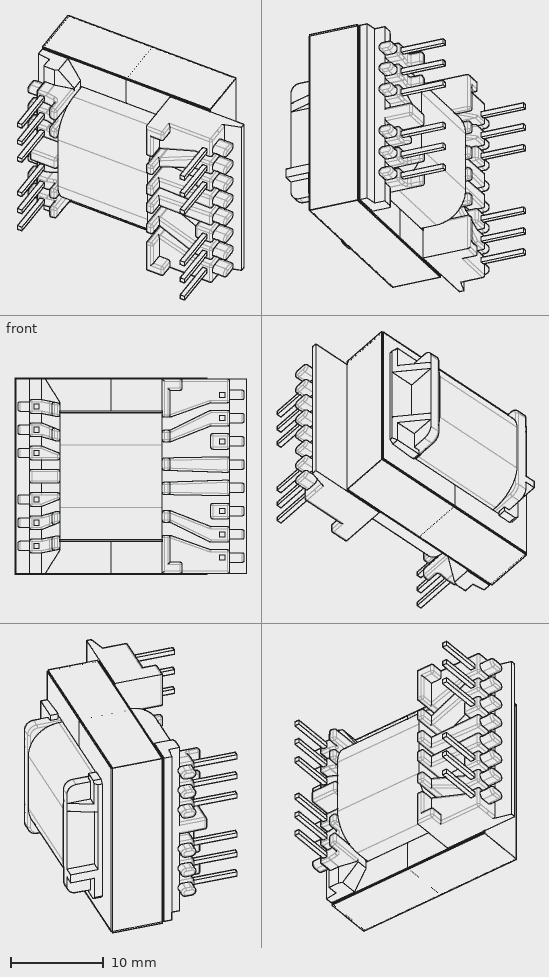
import cadquery as cq

FAR = 24.9
SMALL = 0.02

CORE_X = 20.42
CORE_Y = 5.95
CORE_Z = 20.87
WINDOW_X = 13.55
WINDOW_Z = 14.0
CENTRE_LEG_Z = 6.87
TAPE_THICKNESS = 0.12
TAPE_Y = 5.68

WINDING_X = 11.0
WINDING_Z = 13.7
WINDING_RADIUS = 3.49
TUBE_WALL = 0.5
BACK_Y = 6.8
WINDING_FRONT_Y = -8.17

INNER_X = WINDING_X / 2
FLANGE_OUTER_X = WINDOW_X / 2
FLANGE_Z = 13.85
FLANGE_RADIUS = 1.05
FLAP_FRONT_Y = 3.19
FLAP_BACK_Y = 4.08
RIGHT_TIP_FRONT_Y = 3.34
FLAP_EDGE_Y = 3.65
FLAP_Z = 15.15
FLAP_INNER_X = 6.1
LEFT_FLAP_X = -8.0
RIGHT_FLAP_X = 9.55
FLAP_CORNER = 0.4
GUSSET_INNER_Z = 3.69
GUSSET_OUTER_Z = 4.7

RAIL_Z = 20.92
RAIL_BACK_Y = -3.1
LIP_ROOT_Y = -4.15
FLOOR_Y = -5.38
RIB_FRONT_Y = -7.07
FINGER_FRONT_Y = -8.62
EDGE_FILLET = 0.25

LEFT_RAIL_X = -8.76
LEFT_LIP_X = -10.2
LEFT_LIP_Y = -3.95
LEFT_RAMP_X = -7.47
RAMP_END_Y = -4.5
LEFT_CORNER_X = -7.07
LEFT_CORNER_Z = 7.95

RIGHT_RAIL_X = 12.75
RIGHT_LIP_X = 14.57
RIGHT_LIP_Y = -3.64

PIN_PITCH = 2.5
PIN_SIZE = 0.55
PIN_TIP_Y = -12.1
LEFT_PIN_X = -8.02
RIGHT_PIN_X = 11.95
LEFT_RIB_HALF = 0.75
RIGHT_RIB_HALF = 0.85
FINGER_WIDTH = 0.85
LEFT_FINGER_ROOT = 0.27
RIGHT_BEND_X = 10.7
OUTER_FINGER_Z = (6.35, 7.85)
MIDDLE_FINGER_Z = (3.69, 4.95)
INNER_LEFT_Z = (1.77, 2.47)
INNER_RIGHT_Z = (0.65, 1.97)
BARRIER_Z = 1.47
BARRIER_FRONT_Y = -8.55
HOOK_X = 7.65
HOOK_Z = 1.22

STUD_HEIGHT = 1.02
STUD_FRONT_Y = -6.85
STUD_TIP_FILLET = 0.22
LEFT_STUD_X = -10.0
LEFT_STUD_BACK_Y = -5.18
RIGHT_STUD_X = 14.32
RIGHT_STUD_BACK_Y = -4.9


def box(x0, x1, y0, y1, z0, z1):
    """Box between two opposite corners, given in any order."""
    size = cq.Workplane("XY").box(abs(x1 - x0), abs(y1 - y0), abs(z1 - z0))
    return size.translate(((x0 + x1) / 2, (y0 + y1) / 2, (z0 + z1) / 2))


def prism_z(points, z0, z1):
    """Outline in X and Y, extruded from z0 to z1."""
    return cq.Workplane("XY").workplane(offset=z0).polyline(points).close().extrude(z1 - z0)


def prism_y(points, y0, y1):
    """Outline in X and Z, extruded from y0 to y1 (y1 < y0)."""
    return cq.Workplane("XZ", origin=(0, y0, 0)).polyline(points).close().extrude(y0 - y1)


def both_ends(shape):
    """The shape together with its mirror image in z = 0."""
    return shape.union(shape.mirror("XY"))


def make_core_half(side):
    outer_x = side * CORE_X / 2
    half = box(0, outer_x, -CORE_Y / 2, CORE_Y / 2, -CORE_Z / 2, CORE_Z / 2)
    window = box(0, side * WINDOW_X / 2, -CORE_Y, CORE_Y, CENTRE_LEG_Z / 2, WINDOW_Z / 2)
    return half.cut(both_ends(window))


def make_tape():
    outer_x = CORE_X + 2 * TAPE_THICKNESS
    outer_z = CORE_Z + 2 * TAPE_THICKNESS
    band = cq.Workplane("XY").box(outer_x, TAPE_Y, outer_z)
    return band.cut(cq.Workplane("XY").box(CORE_X, TAPE_Y, CORE_Z))


def make_tube_outside():
    return cq.Workplane("XY").box(WINDOW_X, CORE_Y + 2 * TUBE_WALL, CENTRE_LEG_Z + 2 * TUBE_WALL)


def make_winding():
    coil = box(-INNER_X, INNER_X, WINDING_FRONT_Y, BACK_Y, -WINDING_Z / 2, WINDING_Z / 2)
    return coil.edges("|X").fillet(WINDING_RADIUS).cut(make_tube_outside())


def make_flange(side):
    """Plate at the end of the winding, reaching from the terminal rail to the back."""
    plate = box(side * INNER_X, side * FLANGE_OUTER_X, RAIL_BACK_Y, BACK_Y, -FLANGE_Z / 2, FLANGE_Z / 2)
    plate = plate.edges("|X and >Y").fillet(FLANGE_RADIUS)
    inner_face = "<X" if side > 0 else ">X"
    return plate.faces(inner_face).edges(">Y or >Z or <Z").fillet(EDGE_FILLET)


def make_gusset(outline):
    return prism_z(outline, GUSSET_INNER_Z, GUSSET_OUTER_Z)


def make_flap(outer_x):
    """Plate behind the core with cut corners, thinner between its gussets."""
    side = 1 if outer_x > 0 else -1
    plate = box(side * FLAP_INNER_X, outer_x, FLAP_FRONT_Y, FLAP_BACK_Y, -FLAP_Z / 2, FLAP_Z / 2)
    plate = plate.edges(">X and |Y" if side > 0 else "<X and |Y").chamfer(FLAP_CORNER)
    recess = box(side * FLANGE_OUTER_X, outer_x, FLAP_EDGE_Y, BACK_Y, -GUSSET_INNER_Z, GUSSET_INNER_Z)
    return plate.cut(recess)


def slope_outline(outer_x):
    """Triangle in X and Y under the slope from the flange's back edge to the flap's tip."""
    flange_x = FLANGE_OUTER_X if outer_x > 0 else -FLANGE_OUTER_X
    return [(flange_x, BACK_Y), (outer_x, FLAP_EDGE_Y), (flange_x, FLAP_EDGE_Y)]


def cut_above_slope(shape, outer_x, z0, z1):
    tip = (outer_x, FLAP_EDGE_Y)
    top = (FLANGE_OUTER_X if outer_x > 0 else -FLANGE_OUTER_X, BACK_Y)
    return shape.cut(prism_z([tip, top, (outer_x, BACK_Y)], z0, z1))


def make_left_flap():
    """The flap's upper half is sloped; its lower half stays square."""
    gusset = make_gusset(slope_outline(LEFT_FLAP_X))
    flap = cut_above_slope(make_flap(LEFT_FLAP_X), LEFT_FLAP_X, 0, FLAP_Z / 2)
    square = box(LEFT_FLAP_X, -FLANGE_OUTER_X, FLAP_EDGE_Y, BACK_Y, -GUSSET_OUTER_Z, -GUSSET_INNER_Z)
    return flap.union(gusset).union(square)


def make_right_flap():
    """The flap is sloped over its whole width and its front face rises towards the tip."""
    gussets = both_ends(make_gusset(slope_outline(RIGHT_FLAP_X)))
    front_taper = [
        (FLANGE_OUTER_X, FLAP_FRONT_Y),
        (RIGHT_FLAP_X, FLAP_FRONT_Y),
        (RIGHT_FLAP_X, RIGHT_TIP_FRONT_Y),
    ]
    flap = cut_above_slope(make_flap(RIGHT_FLAP_X), RIGHT_FLAP_X, -FLAP_Z / 2, FLAP_Z / 2)
    return flap.cut(prism_z(front_taper, -FLAP_Z / 2, FLAP_Z / 2)).union(gussets)


def make_left_rail():
    outline = [
        (LEFT_LIP_X, RAIL_BACK_Y),
        (LEFT_LIP_X, LEFT_LIP_Y),
        (LEFT_RAIL_X, LIP_ROOT_Y),
        (LEFT_RAIL_X, FLOOR_Y),
        (LEFT_RAMP_X, FLOOR_Y),
        (-INNER_X, RAMP_END_Y),
        (-INNER_X, RAIL_BACK_Y),
    ]
    corner = [(LEFT_CORNER_X, RAIL_Z / 2), (-INNER_X, LEFT_CORNER_Z), (-INNER_X, RAIL_Z / 2)]
    rail = prism_z(outline, -RAIL_Z / 2, RAIL_Z / 2)
    return rail.cut(both_ends(prism_y(corner, RAIL_BACK_Y, FLOOR_Y)))


def make_right_rail():
    outline = [
        (RIGHT_LIP_X, RAIL_BACK_Y),
        (RIGHT_LIP_X, RIGHT_LIP_Y),
        (RIGHT_RAIL_X, LIP_ROOT_Y),
        (RIGHT_RAIL_X, FLOOR_Y),
        (INNER_X, RAMP_END_Y),
        (INNER_X, RAIL_BACK_Y),
    ]
    rail = prism_z(outline, -RAIL_Z / 2, RAIL_Z / 2)
    return rail.edges("|Y").edges(near_line(RIGHT_RAIL_X)).fillet(EDGE_FILLET)


def left_finger_profile():
    """Left rib with a finger rising from its winding end out of a hollow rounding, as wide in Z as the rails."""
    finger_x = -INNER_X - FINGER_WIDTH
    rib = box(LEFT_RAIL_X, -INNER_X, LIP_ROOT_Y, RIB_FRONT_Y, -RAIL_Z / 2, RAIL_Z / 2)
    finger = box(finger_x, -INNER_X, LIP_ROOT_Y, FINGER_FRONT_Y, -RAIL_Z / 2, RAIL_Z / 2)
    root = near_line(finger_x, y=RIB_FRONT_Y)
    return rib.union(finger).edges(root).fillet(LEFT_FINGER_ROOT)


def right_rib(outline):
    """Right rib over an outline in X and Z, with a finger rising squarely from its winding end."""
    rib = prism_y(outline, LIP_ROOT_Y, RIB_FRONT_Y)
    finger = prism_y(outline, LIP_ROOT_Y, FINGER_FRONT_Y)
    finger = finger.intersect(
        box(INNER_X, INNER_X + FINGER_WIDTH, LIP_ROOT_Y, FINGER_FRONT_Y, -RAIL_Z / 2, RAIL_Z / 2)
    )
    return round_edges(rib).union(round_edges(finger))


def near_line(x, y=None, z=None):
    """Selects edges that lie beside a line through the given places; None leaves a direction open."""
    spans = [(-FAR, FAR) if place is None else (place - SMALL, place + SMALL) for place in (x, y, z)]
    return cq.selectors.BoxSelector(*zip(*spans))


def round_edges(rib):
    """Round the rib's edges, except those sunk in the rail and the sharp corners at the ends of the right rail."""
    above_rail = cq.selectors.BoxSelector((-FAR, LIP_ROOT_Y - SMALL, -FAR), (FAR, -FAR, FAR))
    rail_end = near_line(INNER_X, z=RAIL_Z / 2)
    upright = cq.selectors.ParallelDirSelector(cq.Vector(0, 1, 0))
    return rib.edges(above_rail - (rail_end & upright)).fillet(EDGE_FILLET)


def pin_z(half_pitches):
    return half_pitches * PIN_PITCH / 2


def make_left_ribs():
    def plan(z, end_z):
        low = z - LEFT_RIB_HALF
        high = z + LEFT_RIB_HALF
        outline = [
            (LEFT_RAIL_X, low),
            (LEFT_RAMP_X, low),
            (-INNER_X, end_z[0]),
            (-INNER_X, end_z[1]),
            (LEFT_RAMP_X, high),
            (LEFT_RAIL_X, high),
        ]
        return prism_y(outline, LIP_ROOT_Y, FINGER_FRONT_Y)

    profile = left_finger_profile()
    outer = round_edges(plan(pin_z(6), OUTER_FINGER_Z).intersect(profile))
    middle = round_edges(plan(pin_z(4), MIDDLE_FINGER_Z).intersect(profile))
    low_profile = box(LEFT_RAIL_X, -INNER_X, LIP_ROOT_Y, RIB_FRONT_Y, 0, RAIL_Z / 2)
    inner = round_edges(plan(pin_z(2), INNER_LEFT_Z).intersect(low_profile))
    barrier = round_edges(
        box(LEFT_RAIL_X, -INNER_X, LIP_ROOT_Y, BARRIER_FRONT_Y, -BARRIER_Z / 2, BARRIER_Z / 2)
    )
    return [both_ends(outer), both_ends(middle), both_ends(inner), barrier]


def make_right_ribs():
    bend_start_x = INNER_X + FINGER_WIDTH
    middle_outline = [
        (RIGHT_RAIL_X, pin_z(5) - RIGHT_RIB_HALF),
        (RIGHT_BEND_X, pin_z(5) - RIGHT_RIB_HALF),
        (bend_start_x, MIDDLE_FINGER_Z[0]),
        (INNER_X, MIDDLE_FINGER_Z[0]),
        (INNER_X, MIDDLE_FINGER_Z[1]),
        (bend_start_x, MIDDLE_FINGER_Z[1]),
        (RIGHT_BEND_X, pin_z(5) + RIGHT_RIB_HALF),
        (RIGHT_RAIL_X, pin_z(5) + RIGHT_RIB_HALF),
    ]
    inner_outline = [
        (RIGHT_RAIL_X, pin_z(1) - RIGHT_RIB_HALF),
        (INNER_X, INNER_RIGHT_Z[0]),
        (INNER_X, INNER_RIGHT_Z[1]),
        (RIGHT_RAIL_X, pin_z(1) + RIGHT_RIB_HALF),
    ]
    middle = right_rib(middle_outline)
    inner = right_rib(inner_outline)
    block = round_edges(
        box(
            RIGHT_BEND_X,
            RIGHT_RAIL_X,
            LIP_ROOT_Y,
            RIB_FRONT_Y,
            pin_z(3) - RIGHT_RIB_HALF,
            pin_z(3) + RIGHT_RIB_HALF,
        )
    )
    return [both_ends(middle), both_ends(inner), both_ends(block), both_ends(make_hooked_rib())]


def make_hooked_rib():
    """Rib at the end of the right rail: a wide shelf with a finger wall that turns along the end face."""
    low = pin_z(7) - RIGHT_RIB_HALF
    bend_start_x = INNER_X + FINGER_WIDTH
    outline = [
        (RIGHT_RAIL_X, low),
        (RIGHT_BEND_X, low),
        (bend_start_x, OUTER_FINGER_Z[0]),
        (INNER_X, OUTER_FINGER_Z[0]),
        (INNER_X, RAIL_Z / 2),
        (RIGHT_RAIL_X, RAIL_Z / 2),
    ]
    hook = box(INNER_X, HOOK_X, LIP_ROOT_Y, FINGER_FRONT_Y, RAIL_Z / 2 - HOOK_Z, RAIL_Z / 2)
    return right_rib(outline).union(round_edges(hook))


def make_stud(rail_x, tip_x, back_y, z):
    """Flat-sided round stud along X with a rounded tip."""
    length_y = back_y - STUD_FRONT_Y
    stud = (
        cq.Workplane("YZ", origin=(rail_x, (back_y + STUD_FRONT_Y) / 2, z))
        .slot2D(length_y, STUD_HEIGHT)
        .extrude(tip_x - rail_x)
    )
    return stud.faces(">X" if tip_x > rail_x else "<X").edges().fillet(STUD_TIP_FILLET)


def make_pin(x, z):
    half = PIN_SIZE / 2
    return box(x - half, x + half, RIB_FRONT_Y, PIN_TIP_Y, z - half, z + half)


def make_terminals():
    terminals = []
    for half_pitches in (-6, -4, -2, 2, 4, 6):
        z = pin_z(half_pitches)
        terminals.append(make_pin(LEFT_PIN_X, z))
        terminals.append(make_stud(LEFT_RAIL_X, LEFT_STUD_X, LEFT_STUD_BACK_Y, z))
    for half_pitches in (-7, -5, -3, -1, 1, 3, 5, 7):
        z = pin_z(half_pitches)
        if abs(half_pitches) > 1:
            terminals.append(make_pin(RIGHT_PIN_X, z))
        terminals.append(make_stud(RIGHT_RAIL_X, RIGHT_STUD_X, RIGHT_STUD_BACK_Y, z))
    return terminals


def make_bobbin():
    bobbin = make_tube_outside()
    parts = [make_flange(-1), make_flange(1), make_left_flap(), make_right_flap()]
    parts += [make_left_rail(), make_right_rail()]
    parts += make_left_ribs() + make_right_ribs() + make_terminals()
    for part in parts:
        bobbin = bobbin.union(part)
    leg_hole = cq.Workplane("XY").box(CORE_X, CORE_Y, CENTRE_LEG_Z)
    return bobbin.cut(leg_hole)


core_halves = [make_core_half(side).val() for side in (-1, 1)]
tape = make_tape()
winding = make_winding()
bobbin = make_bobbin()

result = cq.Compound.makeCompound([*core_halves, tape.val(), winding.val(), bobbin.val()])